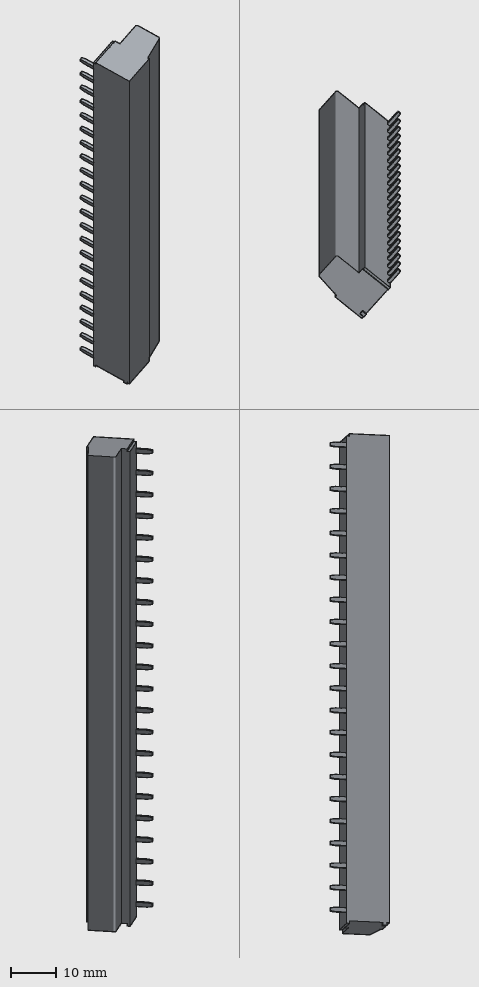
import cadquery as cq

total_width = 13.4
total_depth = 13.8
total_height = 110.6

flange_drop = 0.5
housing_height = total_height - flange_drop
shoulder_y = 7.4
ledge_y = 7.7
tower_left_x = 5.6
tower_top_right_x = 12.0
tower_base_right_x = 12.9
tower_edge_radius = 0.4

flange_thickness = 0.7

pole_count = 22
pole_pitch = housing_height / pole_count
pin_length = 3.6
pin_depth = 0.8
pin_height = 1.0
pin_setback = 0.1
pin_center_y = pin_setback + pin_depth / 2
tip_length = 1.1
tip_size = 0.7

foot_width = 0.9
foot_depth = 1.1
foot_right_gap = 0.7

flange_left_x = pin_length
housing_left_x = flange_left_x + flange_thickness


def box(size, corner):
    return cq.Workplane("XY").box(*size, centered=False).translate(corner)


def make_housing():
    outline = [
        (housing_left_x, 0),
        (total_width, 0),
        (total_width, ledge_y),
        (tower_base_right_x, ledge_y),
        (tower_top_right_x, total_depth),
        (tower_left_x, total_depth),
        (tower_left_x, shoulder_y),
        (housing_left_x, shoulder_y),
    ]
    profile = cq.Workplane("XY").workplane(offset=flange_drop).polyline(outline).close()
    housing = profile.extrude(housing_height)
    return housing.edges("|Z and >Y").fillet(tower_edge_radius)


def make_flange():
    return box((flange_thickness, shoulder_y, housing_height), (flange_left_x, 0, 0))


def make_foot():
    left_x = total_width - foot_right_gap - foot_width
    return box((foot_width, foot_depth, flange_drop), (left_x, 0, 0))


def make_pin(center_z):
    """Rectangular shank with a tapered tip, both along X."""
    root = cq.Workplane("YZ", origin=(flange_left_x, pin_center_y, center_z))
    shank = root.rect(pin_depth, pin_height).extrude(tip_length - pin_length)
    tip = (
        cq.Workplane("YZ", origin=(0, pin_center_y, center_z))
        .rect(tip_size, tip_size)
        .workplane(offset=tip_length)
        .rect(pin_depth, pin_height)
        .loft(ruled=True)
    )
    return shank.union(tip)


result = make_housing().union(make_flange()).union(make_foot())

for pole in range(pole_count):
    result = result.union(make_pin(flange_drop + (pole + 0.5) * pole_pitch))